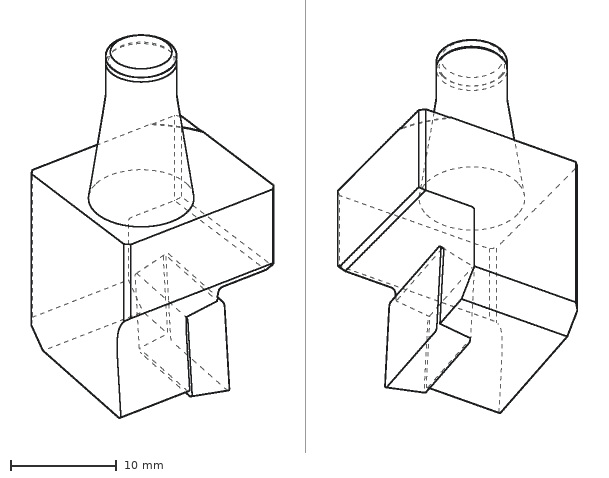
import cadquery as cq
import math

BLOCK_WIDTH = 16.0
BLOCK_DEPTH = 17.5
BLOCK_HEIGHT = 21.0
EDGE_CHAMFER = 0.5
RAKE_ANGLE = 5.0

SLANT_WIDTH = 2.35
SLANT_BOTTOM_Z = -18.98
RELIEF_DEPTH = 1.5
RELIEF_RADIUS = 4.0
RELIEF_END_Z = -11.48
NOSE_X = 15.1
NOSE_RADIUS = 0.38

STEP_Y = 11.65
STEP_Z = -9.68
STEP_FILLET = 0.3

SEAT_RADIUS = 13.0
SEAT_DROP = 0.08

SHANK_X = 10.0
SHANK_Y = 6.0
SHANK_HEIGHT = 37.5 - BLOCK_HEIGHT
CONE_DIAMETER = 10.0
CONE_HEIGHT = 11.6
NECK_DIAMETER = 6.75
NECK_TOP_Z = 15.3
GROOVE_WIDTH = 0.35
LIP_RADIUS = 0.45
LIP_BEVEL_WIDTH = 0.22
LIP_BEVEL_HEIGHT = 0.1

INSERT_SIDE = 9.68
INSERT_THICKNESS = 3.98
INSERT_FACE_Y = 12.0
INSERT_CLEARANCE = 7.0
INSERT_NOSE_RADIUS = 0.4

RAKE = math.radians(RAKE_ANGLE)


def make_insert():
    """Rhombic plate whose widest face looks to +Y, tapering towards -Y."""
    half_tip_angle = math.radians(90 - 2 * RAKE_ANGLE) / 2
    overshoot = INSERT_NOSE_RADIUS * (math.sqrt(0.5) / math.sin(half_tip_angle) - 1)
    tip_x = BLOCK_WIDTH + overshoot
    tip_z = -BLOCK_HEIGHT - overshoot
    long_run = INSERT_SIDE * math.cos(RAKE)
    short_run = INSERT_SIDE * math.sin(RAKE)
    corners = [
        (tip_x, tip_z),
        (tip_x - short_run, tip_z + long_run),
        (tip_x - short_run - long_run, tip_z + long_run + short_run),
        (tip_x - long_run, tip_z + short_run),
    ]
    plate = (
        cq.Workplane("XZ", origin=(0, INSERT_FACE_Y, 0))
        .polyline(corners)
        .close()
        .extrude(INSERT_THICKNESS, taper=INSERT_CLEARANCE)
    )
    side_edges = plate.edges("not(#Y)")
    return side_edges.fillet(INSERT_NOSE_RADIUS)


def make_block():
    """Block with the slanted corner, the raked lower edges and the round relief."""
    relief_x = BLOCK_WIDTH - RELIEF_DEPTH
    arc_center_x = relief_x + RELIEF_RADIUS
    end_angle = math.acos((arc_center_x - BLOCK_WIDTH) / RELIEF_RADIUS)
    relief_top_z = RELIEF_END_Z + RELIEF_RADIUS * math.sin(end_angle)
    arc_middle = (
        arc_center_x - RELIEF_RADIUS * math.cos(end_angle / 2),
        RELIEF_END_Z + RELIEF_RADIUS * math.sin(end_angle / 2),
    )
    nose_z = SLANT_BOTTOM_Z - (NOSE_X - SLANT_WIDTH) * math.tan(RAKE)
    flank_top_z = nose_z + (NOSE_X - relief_x) / math.tan(RAKE)
    block = (
        cq.Workplane("XZ")
        .moveTo(0, 0)
        .lineTo(0, SLANT_BOTTOM_Z + SLANT_WIDTH)
        .lineTo(SLANT_WIDTH, SLANT_BOTTOM_Z)
        .lineTo(NOSE_X, nose_z)
        .lineTo(relief_x, flank_top_z)
        .lineTo(relief_x, RELIEF_END_Z)
        .threePointArc(arc_middle, (BLOCK_WIDTH, relief_top_z))
        .lineTo(BLOCK_WIDTH, 0)
        .close()
        .extrude(-BLOCK_DEPTH)
    )
    nose_edge = cq.selectors.NearestToPointSelector((NOSE_X, BLOCK_DEPTH / 2, nose_z))
    return block.edges(nose_edge).fillet(NOSE_RADIUS)


def chamfered_envelope():
    """Full-height prism with its four vertical edges chamfered."""
    return (
        cq.Workplane("XY")
        .rect(BLOCK_WIDTH, BLOCK_DEPTH, centered=False)
        .extrude(-BLOCK_HEIGHT)
        .edges("|Z")
        .chamfer(EDGE_CHAMFER)
    )


def step_profile_envelope():
    """YZ outline with the step, its inner fillet and the overhang chamfer."""
    fillet_middle = STEP_FILLET * (1 - math.sqrt(0.5))
    return (
        cq.Workplane("YZ")
        .moveTo(0, 0)
        .lineTo(0, -BLOCK_HEIGHT)
        .lineTo(STEP_Y, -BLOCK_HEIGHT)
        .lineTo(STEP_Y, STEP_Z - STEP_FILLET)
        .threePointArc(
            (STEP_Y + fillet_middle, STEP_Z - fillet_middle),
            (STEP_Y + STEP_FILLET, STEP_Z),
        )
        .lineTo(BLOCK_DEPTH - EDGE_CHAMFER, STEP_Z)
        .lineTo(BLOCK_DEPTH, STEP_Z + EDGE_CHAMFER)
        .lineTo(BLOCK_DEPTH, 0)
        .close()
        .extrude(BLOCK_WIDTH)
    )


def lowered_corner():
    """Thin layer removed from the top face outside the seat circle."""
    layer = (
        cq.Workplane("XY")
        .rect(BLOCK_WIDTH, BLOCK_DEPTH, centered=False)
        .extrude(-SEAT_DROP)
    )
    seat = (
        cq.Workplane("XY")
        .center(SHANK_X, SHANK_Y)
        .circle(SEAT_RADIUS)
        .extrude(-SEAT_DROP)
    )
    return layer.cut(seat)


def make_shank():
    """Tapered shank with a cylindrical neck, a fine conical groove and a rounded, bevelled lip."""
    neck_radius = NECK_DIAMETER / 2
    lip_edge_z = SHANK_HEIGHT - LIP_BEVEL_HEIGHT
    lip_center_r = neck_radius - LIP_RADIUS
    lip_center_z = SHANK_HEIGHT - LIP_RADIUS
    lip_edge_r = lip_center_r + LIP_BEVEL_WIDTH
    groove_top_z = NECK_TOP_Z + GROOVE_WIDTH
    groove_radius = lip_center_r + math.sqrt(LIP_RADIUS**2 - (lip_center_z - groove_top_z) ** 2)
    return (
        cq.Workplane("XZ")
        .moveTo(0, 0)
        .lineTo(CONE_DIAMETER / 2, 0)
        .lineTo(neck_radius, CONE_HEIGHT)
        .lineTo(neck_radius, NECK_TOP_Z)
        .lineTo(groove_radius, groove_top_z)
        .threePointArc((neck_radius, lip_center_z), (lip_edge_r, lip_edge_z))
        .lineTo(lip_center_r, SHANK_HEIGHT)
        .lineTo(0, SHANK_HEIGHT)
        .close()
        .revolve(360, (0, 0, 0), (0, 1, 0))
        .translate((SHANK_X, SHANK_Y, 0))
    )


def make_holder(insert):
    """Block and shank in one piece, with a pocket that fits the insert."""
    body = make_block().intersect(chamfered_envelope()).intersect(step_profile_envelope())
    return body.cut(lowered_corner()).union(make_shank()).cut(insert)


cutting_insert = make_insert()
holder = make_holder(cutting_insert)

result = cq.Compound.makeCompound([*holder.vals(), cutting_insert.val()])